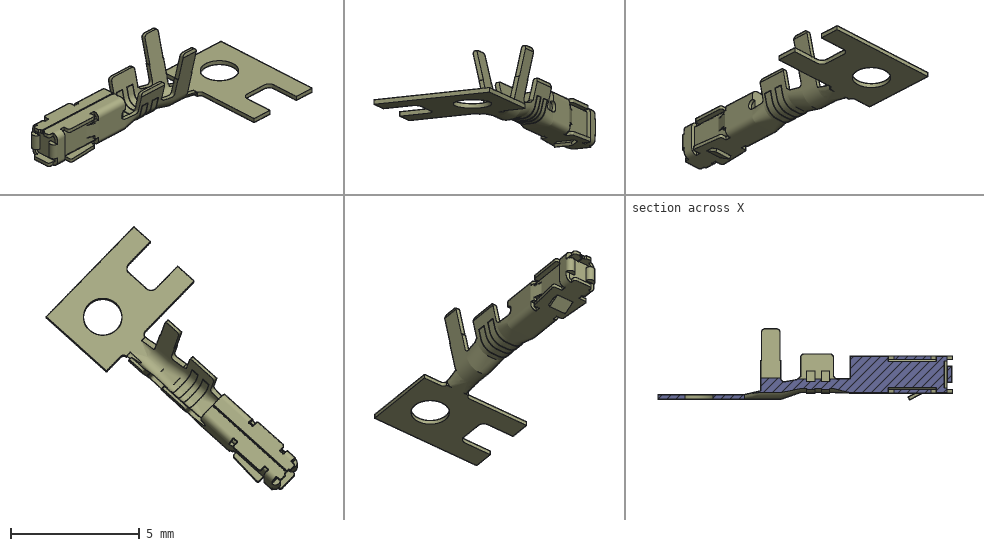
import cadquery as cq
import math


length = 11.5
sheet = 0.18
bend_rise = 0.24
wing_angle = 90 - math.degrees(math.atan(bend_rise))

reach = 5.75
below = -0.12

strip_left = -1.51
strip_width = 5.0
strip_depth = 3.22
strip_front = length - strip_depth
strip_mid = length - strip_depth / 2
pilot_diameter = 1.5
slot_start = 2.0
slot_width = 1.46
slot_radius = 0.26

insulation_rear, insulation_front = 7.49, 6.7
conductor_rear, conductor_front = 5.93, 4.65
box_rear = 4.0
window_rear, window_front = 2.51, 0.64
ring_front = 0.22

insulation_radius, insulation_flat = 0.63, 0.01
insulation_top = 2.76
insulation_step_height, insulation_step = 1.52, 0.02
conductor_radius, conductor_flat = 0.56, 0.14
conductor_bottom, conductor_top = 0.26, 1.78
wing_corner = 0.15
tip_bevel_height, tip_bevel_depth = 0.15, 0.07
trough_root_radius = 0.14
insulation_trough_height, conductor_trough_height = 0.69, 0.9
middle_trough_front_height = 0.78
untrimmed_height = 1.13

serration_depth = 0.02
serration_width = 0.32
serration_centers = (5.53, 4.96)
serration_top = 1.12

neck_half_width = 0.54
neck_flare = 0.16
neck_start = strip_front - neck_flare
neck_edge_height = 0.35
neck_edge_radius, neck_edge_angle = 0.2, 60
neck_edge_top = 0.2
neck_edge_run = 0.23

box_half = 0.68
box_bottom, box_top = 0.24, 1.7
box_radius = 0.25
shell = 0.15
core_half = box_half - shell
core_front = 0.32
box_trough_height = 0.82
seam_width = 0.05
seam_mouth_half, seam_mouth_depth = 0.15, 0.07
relief_radius = 0.22
relief_height = 1.04

plate_half = 0.43
flap_corner = 0.09
flange_rear, flange_front = 2.29, 0.84
flange_corner = 0.08
top_flange_half = 0.7
bottom_flange_rear_half, bottom_flange_front_half = 0.7, 0.82

roll_radius = 0.2
roll_bottom, roll_top = 0.67, 1.3
ramp_start_y, ramp_end_y = 2.35, 2.0
ramp_start_x = 0.63
ramp_bottom, ramp_top = 0.74, 1.31
shoulder_bottom, shoulder_top = 0.6, 1.4
lance_half_width = 0.38
lance_root_y, lance_tip_y = 1.17, 1.68
lance_tip_z = -0.02
lance_thickness = 0.14


def block(x0, x1, y0, y1, z0, z1):
    return cq.Workplane("XY").box(x1 - x0, y1 - y0, z1 - z0, centered=False).translate((x0, y0, z0))


def extrude_plan(points, z0, z1):
    return cq.Workplane("XY").workplane(offset=z0).polyline(points).close().extrude(z1 - z0)


def mirrored(body):
    return body.union(body.mirror("YZ"))


def trough(plane, bottom, flat, radius, angle, top, thickness=sheet):
    """Draw a U-shaped sheet section: flat floor, two bends and straight walls up to a height."""
    turn = math.radians(angle)
    inner = radius - thickness

    def on_bend(r, a):
        return flat + r * math.sin(a), bottom + radius - r * math.cos(a)

    outer_end = on_bend(radius, turn)
    inner_end = on_bend(inner, turn)
    run = 1 / math.tan(turn)
    outer_top = (outer_end[0] + run * (top - outer_end[1]), top)
    inner_top = (inner_end[0] + run * (top - inner_end[1]), top)

    def flip(point):
        return -point[0], point[1]

    return (
        plane.moveTo(-flat, bottom)
        .lineTo(flat, bottom)
        .threePointArc(on_bend(radius, turn / 2), outer_end)
        .lineTo(*outer_top)
        .lineTo(*inner_top)
        .lineTo(*inner_end)
        .threePointArc(on_bend(inner, turn / 2), (flat, bottom + thickness))
        .lineTo(-flat, bottom + thickness)
        .threePointArc(flip(on_bend(inner, turn / 2)), flip(inner_end))
        .lineTo(*flip(inner_top))
        .lineTo(*flip(outer_top))
        .lineTo(*flip(outer_end))
        .threePointArc(flip(on_bend(radius, turn / 2)), (-flat, bottom))
        .close()
    )


def side_plane():
    return cq.Workplane("YZ", origin=(-reach, 0, 0))


def side_outline(points):
    """Extrude a (Y, Z) outline right across the part, to trim sheet sections with."""
    return side_plane().polyline(points).close().extrude(2 * reach)


def section_plane(y):
    return cq.Workplane("XZ", origin=(0, y, 0))


def trough_prism(y_rear, y_front, section):
    return trough(section_plane(y_rear), *section).extrude(y_rear - y_front)


def trough_loft(y_rear, rear_section, y_front, front_section):
    rear = trough(section_plane(y_rear), *rear_section)
    return trough(rear.workplane(offset=y_rear - y_front), *front_section).loft(ruled=True, combine=True)


def insulation_section(top):
    return 0, insulation_flat, insulation_radius, wing_angle, top


def conductor_section(top):
    return conductor_bottom, conductor_flat, conductor_radius, wing_angle, top


def bevel_wing_tips(barrel, y_rear, y_front, bottom, flat, radius, top):
    """Bevel the outer face of both wings just below their tips."""
    turn = math.radians(wing_angle)
    bend_end_x = flat + radius * math.sin(turn)
    bend_end_z = bottom + radius * (1 - math.cos(turn))
    low_z = top - tip_bevel_height
    clear_x = box_half * 2
    low_x = bend_end_x + bend_rise * (low_z - bend_end_z)
    top_x = bend_end_x + bend_rise * (top - bend_end_z)
    wedge = (
        section_plane(y_rear)
        .polyline([(low_x, low_z), (top_x - tip_bevel_depth, top), (clear_x, top), (clear_x, low_z)])
        .close()
        .extrude(y_rear - y_front)
    )
    return barrel.cut(mirrored(wedge))


def wing_outline(y_rear, y_front, top):
    """Side outline of a barrel with rounded wing tips, extruded right across X."""
    outline = block(-reach, reach, y_front, y_rear, below, top)
    return outline.edges("|X and >Z").fillet(wing_corner)


def make_strip():
    strip = block(strip_left, strip_left + strip_width, strip_front, length, 0, sheet)
    strip = strip.cut(cq.Workplane("XY").center(0, strip_mid).circle(pilot_diameter / 2).extrude(sheet))
    slot = block(
        slot_start, strip_left + strip_width, strip_mid - slot_width / 2, strip_mid + slot_width / 2, 0, sheet
    )
    return strip.cut(slot.edges("|Z and <X").fillet(slot_radius))


def make_neck():
    outer = neck_half_width + neck_flare
    corner = neck_flare * (1 - math.sqrt(0.5))
    web = (
        cq.Workplane("XY")
        .moveTo(-outer, strip_front)
        .threePointArc((-neck_half_width - corner, strip_front - corner), (-neck_half_width, neck_start))
        .lineTo(neck_half_width, neck_start)
        .threePointArc((neck_half_width + corner, strip_front - corner), (outer, strip_front))
        .close()
        .extrude(sheet)
    )
    flat_section = (0, neck_half_width - neck_edge_run, neck_edge_radius, neck_edge_angle, neck_edge_top)
    funnel = trough_loft(
        neck_start, flat_section, insulation_rear, insulation_section(insulation_trough_height)
    )
    outline = side_outline(
        [
            (insulation_rear, below),
            (insulation_rear, neck_edge_height),
            (neck_start, neck_edge_top),
            (neck_start, below),
        ]
    )
    funnel = funnel.intersect(outline)
    return web.union(funnel)


def make_insulation_barrel():
    barrel = trough_prism(insulation_rear, insulation_front, insulation_section(insulation_top))
    barrel = bevel_wing_tips(
        barrel, insulation_rear, insulation_front, 0, insulation_flat, insulation_radius, insulation_top
    )
    lower = side_outline(
        [
            (insulation_rear, below),
            (insulation_rear, insulation_step_height),
            (insulation_front, insulation_step_height),
            (insulation_front, below),
        ]
    )
    upper = wing_outline(
        insulation_rear - insulation_step, insulation_front + insulation_step, insulation_top
    )
    return barrel.intersect(lower.union(upper))


def make_conductor_barrel():
    barrel = trough_prism(conductor_rear, conductor_front, conductor_section(conductor_top))
    barrel = bevel_wing_tips(
        barrel,
        conductor_rear,
        conductor_front,
        conductor_bottom,
        conductor_flat,
        conductor_radius,
        conductor_top,
    )
    barrel = barrel.intersect(wing_outline(conductor_rear, conductor_front, conductor_top))
    embossed = (
        conductor_bottom - serration_depth,
        conductor_flat,
        conductor_radius + serration_depth,
        wing_angle,
        serration_top,
    )
    for center in serration_centers:
        rear, front = center + serration_width / 2, center - serration_width / 2
        inner_skin = trough(
            section_plane(rear),
            conductor_bottom + sheet - serration_depth,
            conductor_flat,
            conductor_radius - sheet + serration_depth,
            wing_angle,
            serration_top,
            serration_depth,
        ).extrude(serration_width)
        barrel = barrel.union(trough_prism(rear, front, embossed)).cut(inner_skin)
    return barrel


def root_fillet(wing_y, height):
    """Trimming outline with a concave arc, joining the front edge of a wing to the trough edge."""
    r = trough_root_radius
    inset = r * (1 - math.sqrt(0.5))
    return (
        side_plane()
        .moveTo(wing_y, below)
        .lineTo(wing_y, height + r)
        .threePointArc((wing_y - inset, height + inset), (wing_y - r, height))
        .lineTo(wing_y - r, below)
        .close()
        .extrude(2 * reach)
    )


def make_middle_trough():
    body = trough_loft(
        insulation_front,
        insulation_section(untrimmed_height),
        conductor_rear,
        conductor_section(untrimmed_height),
    )
    outline = side_outline(
        [
            (insulation_front, below),
            (insulation_front, insulation_trough_height),
            (insulation_front - trough_root_radius, insulation_trough_height),
            (conductor_rear + trough_root_radius, middle_trough_front_height),
            (conductor_rear, conductor_trough_height),
            (conductor_rear, below),
        ]
    )
    outline = outline.union(root_fillet(insulation_front, insulation_trough_height))
    return body.intersect(outline)


def make_front_trough():
    box_section = (box_bottom, box_half - box_radius, box_radius, 90, untrimmed_height)
    body = trough_loft(conductor_front, conductor_section(untrimmed_height), box_rear, box_section)
    outline = block(-reach, reach, box_rear, conductor_front, below, box_trough_height)
    outline = outline.union(root_fillet(conductor_front, box_trough_height))
    return body.intersect(outline)


def rounded_bar(half, z0, z1, y_rear, y_front, radius):
    return block(-half, half, y_front, y_rear, z0, z1).edges("|Y").fillet(radius)


def make_plate(z0, z1, rear_half, front_half):
    """Floor or roof sheet: a straight tongue with a side flange in the window region."""
    tongue = block(-plate_half, plate_half, 0, box_rear, z0, z1).edges("|Z and <Y").fillet(flap_corner)
    flange = extrude_plan(
        [
            (-front_half, flange_front),
            (front_half, flange_front),
            (rear_half, flange_rear),
            (-rear_half, flange_rear),
        ],
        z0,
        z1,
    )
    return tongue.union(flange.edges("|Z").fillet(flange_corner))


def make_box():
    core = rounded_bar(
        core_half, box_bottom + shell, box_top - shell, box_rear, core_front, box_radius - shell
    )
    rear_shell = rounded_bar(box_half, box_bottom, box_top, box_rear, window_rear, box_radius)
    relief = (
        cq.Workplane("YZ", origin=(core_half, box_rear, relief_height))
        .circle(relief_radius)
        .extrude(shell)
    )
    rear_shell = rear_shell.cut(mirrored(relief))
    ring = rounded_bar(box_half, box_bottom, box_top, window_front, ring_front, box_radius)
    recess = rounded_bar(
        core_half, box_bottom + shell, box_top - shell, core_front, ring_front, box_radius - shell
    )
    roof = make_plate(box_top - shell, box_top, top_flange_half, top_flange_half)
    floor = make_plate(
        box_bottom, box_bottom + shell, bottom_flange_rear_half, bottom_flange_front_half
    )
    seam = block(-seam_width / 2, seam_width / 2, 0, box_rear, box_top - shell, box_top)
    mouth = extrude_plan(
        [
            (-seam_mouth_half, 0),
            (seam_mouth_half, 0),
            (seam_mouth_half - seam_mouth_depth / 2, seam_mouth_depth),
            (-seam_mouth_half + seam_mouth_depth / 2, seam_mouth_depth),
        ],
        box_top - shell,
        box_top,
    )
    return core.union(rear_shell).union(ring.cut(recess)).union(roof).union(floor).cut(seam).cut(mouth)


def make_side_tongues():
    """Rolled front tabs and the bent-in tongues at the rear of the side windows."""
    roll_center = box_half - roll_radius
    roll = (
        cq.Workplane("XY", origin=(0, 0, roll_bottom))
        .moveTo(roll_center - roll_radius, ring_front)
        .threePointArc((roll_center, ring_front - roll_radius), (box_half, ring_front))
        .close()
        .extrude(roll_top - roll_bottom)
    )
    shoulder = extrude_plan(
        [
            (core_half, window_rear),
            (box_half, window_rear),
            (ramp_start_x, ramp_start_y),
            (core_half, ramp_start_y),
        ],
        shoulder_bottom,
        shoulder_top,
    )
    ramp = extrude_plan(
        [(core_half, ramp_start_y), (ramp_start_x, ramp_start_y), (core_half, ramp_end_y)],
        ramp_bottom,
        ramp_top,
    )
    return mirrored(roll.union(shoulder).union(ramp))


def make_lance():
    """Locking lance sloping down and back from the box floor."""
    slope = math.atan2(box_bottom - lance_tip_z, lance_tip_y - lance_root_y)
    across_y = lance_thickness * math.sin(slope)
    across_z = lance_thickness * math.cos(slope)
    return (
        cq.Workplane("YZ", origin=(-lance_half_width, 0, 0))
        .polyline(
            [
                (lance_root_y, box_bottom),
                (lance_tip_y, lance_tip_z),
                (lance_tip_y + across_y, lance_tip_z + across_z),
                (lance_root_y + across_y, box_bottom + across_z),
            ]
        )
        .close()
        .extrude(2 * lance_half_width)
    )


result = make_strip()
for feature in (
    make_neck(),
    make_insulation_barrel(),
    make_middle_trough(),
    make_conductor_barrel(),
    make_front_trough(),
    make_box(),
    make_side_tongues(),
    make_lance(),
):
    result = result.union(feature)